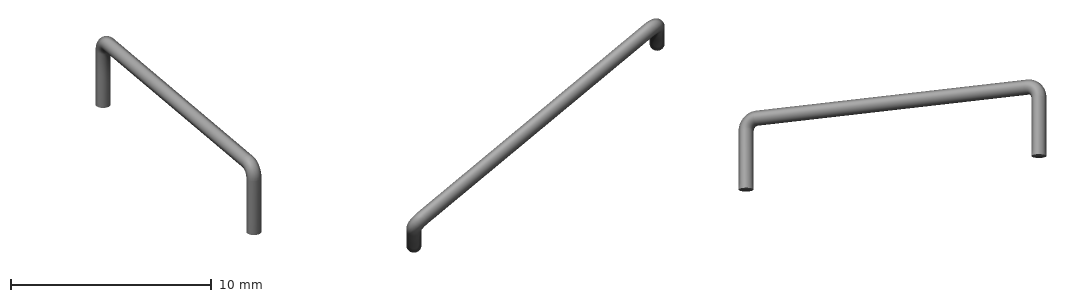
import cadquery as cq

overall_length = 16.75
overall_height = 3.99
wire_diameter = 0.75
bend_radius = 0.6

wire_radius = wire_diameter / 2
leg_x = overall_length / 2 - wire_radius
bar_z = overall_height - wire_radius
bend_start_z = bar_z - bend_radius
bar_end_x = leg_x - bend_radius

centreline = (
    cq.Workplane("XZ")
    .moveTo(-leg_x, 0)
    .lineTo(-leg_x, bend_start_z)
    .radiusArc((-bar_end_x, bar_z), bend_radius)
    .lineTo(bar_end_x, bar_z)
    .radiusArc((leg_x, bend_start_z), bend_radius)
    .lineTo(leg_x, 0)
)

result = (
    cq.Workplane("XY", origin=(-leg_x, 0, 0))
    .circle(wire_radius)
    .sweep(centreline)
)